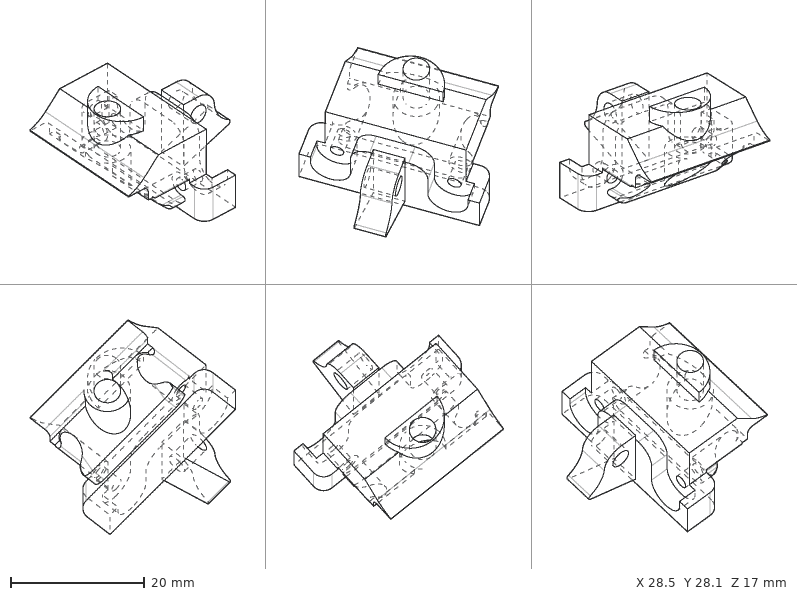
import cadquery as cq
import math

plate_length = 28.5
plate_thickness = 6.53
plate_height = 6.05
plate_corner_radius = 2.0

screw_x = 9.25
screw_z = 4.8
screw_hole_diameter = 2.1
screw_pad_radius = 2.0
pocket_radius = 3.15
pocket_depth = 3.1

rib_half_width = screw_x - pocket_radius
rib_top = 11.6
rib_corner_radius = 3.02

block_half_width = 11.12
block_top = 14.42
block_front = -14.75
block_bottom = 6.98
slope_top_y = -12.7
slope_drop = 2.88
lip_tip_y = -18.72
lip_tip_z = 9.65
lip_underside = 9.5
lip_root_radius = 1.03
lip_curve_middle = (-16.9, 10.52)

wedge_bottom = 1.03
wedge_toe_y = block_front + block_bottom - wedge_bottom
wedge_floor_half_width = 8.18
wedge_corner_radius = 2.22
wedge_corner_run = 1.85
wedge_tip_x = 10.17
wedge_tip_radius = 0.43
wedge_side_bottom = 6.87
wedge_lobe_bottom = 6.4
wedge_lobe_width = 0.28
wedge_overlap = 0.28

pad_radius = 5.13
pad_center_y = -10.17
pad_back_y = -10.35
pad_top = 17.0
bolt_y = -13.05
bolt_hole_diameter = 4.0
bolt_recess_radius = 3.5

hook_width = 5.0
hook_pivot_y = 3.0
hook_pivot_z = 9.38
hook_outer_radius = 3.28
hook_hole_diameter = 3.1
hook_bottom_z = 1.1
hook_neck_middle = (7.15, 7.07)
hook_tip_upper = (9.05, 5.4)
hook_tip_end = (9.38, 4.95)
hook_tip_lower = (8.95, 4.4)

DIAGONAL = math.sqrt(0.5)


def box(x_min, x_max, y_min, y_max, z_min, z_max):
    size = (x_max - x_min, y_max - y_min, z_max - z_min)
    return cq.Workplane("XY").box(*size, centered=False).translate((x_min, y_min, z_min))


def cylinder_y(x, z, radius, y_rear, length):
    """Cylinder running forward (toward -Y) from y_rear."""
    return cq.Workplane("XZ", origin=(x, y_rear, z)).circle(radius).extrude(length)


def make_plate():
    plate = box(-plate_length / 2, plate_length / 2, -plate_thickness, 0, 0, plate_height)
    return plate.edges("|Z and <Y").fillet(plate_corner_radius)


def make_rib():
    rib = box(-rib_half_width, rib_half_width, -pocket_depth, 0, screw_z, rib_top)
    return rib.edges("|Y and >Z").fillet(rib_corner_radius)


def make_block():
    root_offset = lip_root_radius * (1 - DIAGONAL)
    profile = (
        cq.Workplane("YZ", origin=(-block_half_width, 0, 0))
        .moveTo(-pocket_depth, plate_height)
        .lineTo(-pocket_depth, block_top)
        .lineTo(slope_top_y, block_top)
        .lineTo(slope_top_y - slope_drop, block_top - slope_drop)
        .threePointArc(lip_curve_middle, (lip_tip_y, lip_tip_z))
        .lineTo(lip_tip_y, lip_underside)
        .lineTo(block_front - lip_root_radius, lip_underside)
        .threePointArc(
            (block_front - root_offset, lip_underside - root_offset),
            (block_front, lip_underside - lip_root_radius),
        )
        .lineTo(block_front, block_bottom)
        .lineTo(-plate_thickness, block_bottom)
        .lineTo(-plate_thickness, plate_height)
        .close()
    )
    return profile.extrude(2 * block_half_width)


def wedge_half_section():
    """Right half of the wedge section, scooped out around the screw pad."""
    lobe_inner_x = screw_x + math.sqrt(screw_pad_radius**2 - (wedge_lobe_bottom - screw_z) ** 2)
    pad_bottom = screw_z - screw_pad_radius
    tip_center_x = wedge_tip_x - wedge_tip_radius
    tip_center_z = pad_bottom - wedge_tip_radius
    half = (
        cq.Workplane("XZ")
        .moveTo(0, block_bottom)
        .lineTo(block_half_width, block_bottom)
        .lineTo(block_half_width, wedge_side_bottom)
        .threePointArc(
            (block_half_width - wedge_lobe_width, wedge_lobe_bottom),
            (lobe_inner_x, wedge_lobe_bottom),
        )
        .threePointArc((screw_x - screw_pad_radius, screw_z), (screw_x, pad_bottom))
        .lineTo(tip_center_x, pad_bottom)
        .threePointArc(
            (wedge_tip_x, tip_center_z),
            (wedge_floor_half_width + wedge_corner_run, corner_end_z()),
        )
        .threePointArc(corner_middle(), (wedge_floor_half_width, wedge_bottom))
        .lineTo(0, wedge_bottom)
        .close()
    )
    return half.extrude(-block_front)


def corner_end_z():
    rise = wedge_corner_radius - math.sqrt(wedge_corner_radius**2 - wedge_corner_run**2)
    return wedge_bottom + rise


def corner_middle():
    half_angle = math.asin(wedge_corner_run / wedge_corner_radius) / 2
    return (
        wedge_floor_half_width + wedge_corner_radius * math.sin(half_angle),
        wedge_bottom + wedge_corner_radius * (1 - math.cos(half_angle)),
    )


def wedge_slope_envelope():
    """Right-half front envelope: the floor outline carried up the 45 degree slope."""
    middle_x, middle_z = corner_middle()
    outline = (
        cq.Workplane("XZ", origin=(0, wedge_toe_y, 0))
        .moveTo(0, wedge_bottom)
        .lineTo(wedge_floor_half_width, wedge_bottom)
        .threePointArc(
            (middle_x, middle_z),
            (wedge_floor_half_width + wedge_corner_run, corner_end_z()),
        )
        .lineTo(block_half_width, corner_end_z())
        .lineTo(block_half_width, block_top)
        .lineTo(0, block_top)
        .close()
    )
    slope_run = wedge_toe_y - block_front
    sweep = cq.Vector(0, -slope_run, slope_run)
    front = cq.Solid.extrudeLinear(outline.wires().val(), [], sweep)
    back = box(0, block_half_width, wedge_toe_y, wedge_overlap - plate_thickness, 0, block_top)
    return back.union(cq.Workplane(obj=front))


def make_wedge():
    half = wedge_half_section().intersect(wedge_slope_envelope())
    return half.union(half.mirror("YZ"))


def make_pad():
    disc = cq.Workplane("XY", origin=(0, pad_center_y, block_bottom)).circle(pad_radius)
    pad = disc.extrude(pad_top - block_bottom)
    front_side = box(-pad_radius, pad_radius, pad_center_y - pad_radius, pad_back_y, lip_underside, pad_top)
    return pad.intersect(front_side)


def make_hook():
    outer_offset = hook_outer_radius * DIAGONAL
    profile = (
        cq.Workplane("YZ", origin=(-hook_width / 2, 0, 0))
        .moveTo(0, hook_bottom_z)
        .lineTo(0, hook_pivot_z + hook_outer_radius)
        .lineTo(hook_pivot_y, hook_pivot_z + hook_outer_radius)
        .threePointArc(
            (hook_pivot_y + outer_offset, hook_pivot_z + outer_offset),
            (hook_pivot_y + hook_outer_radius, hook_pivot_z),
        )
        .threePointArc(hook_neck_middle, hook_tip_upper)
        .threePointArc(hook_tip_end, hook_tip_lower)
        .close()
    )
    hook = profile.extrude(hook_width)
    pivot = cq.Workplane("YZ", origin=(-hook_width / 2, hook_pivot_y, hook_pivot_z))
    return hook.cut(pivot.circle(hook_hole_diameter / 2).extrude(hook_width))


def make_screw_cut(x):
    """Screw hole plus a round-bottomed head pocket open at the top and rear."""
    hole = cylinder_y(x, screw_z, screw_hole_diameter / 2, 0, plate_thickness)
    pocket = cylinder_y(x, screw_z, pocket_radius, 0, pocket_depth)
    opening = box(x - pocket_radius, x + pocket_radius, -pocket_depth, 0, screw_z, plate_height)
    return hole.union(pocket).union(opening)


def make_bolt_cut():
    """Vertical bolt hole with a wide recess below the lip level."""
    axis = cq.Workplane("XY", origin=(0, bolt_y, 0))
    hole = axis.circle(bolt_hole_diameter / 2).extrude(pad_top)
    recess = axis.circle(bolt_recess_radius).extrude(lip_underside)
    return hole.union(recess)


body = make_plate()
for x in (-screw_x, screw_x):
    body = body.cut(make_screw_cut(x))
for feature in (make_block(), make_rib(), make_wedge(), make_pad(), make_hook()):
    body = body.union(feature)

result = body.cut(make_bolt_cut())